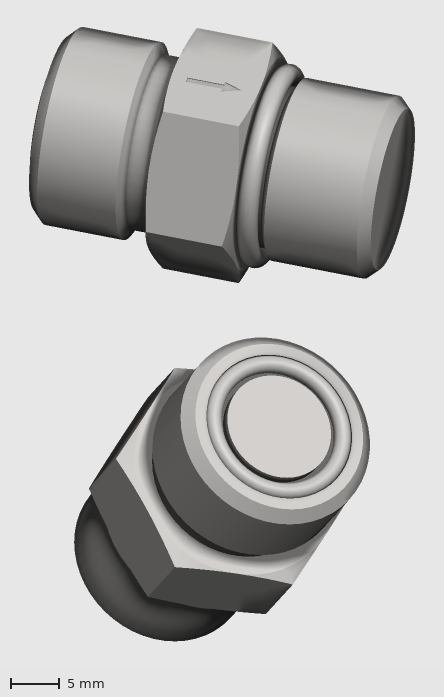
import cadquery as cq
import math


body_length = 36.05
groove_start = 10.2
hex_start = 12.83
hex_end = 22.12
port_thread_start = 24.4

face_thread_diameter = 20.62
face_groove_diameter = 18.26
face_tip_diameter = 18.26
port_thread_diameter = 19.05
port_neck_diameter = 16.82
port_tip_diameter = 16.82

tip_chamfer_length = 1.18
back_chamfer_angle = 30
hex_across_flats = 22.23
hex_chamfer_angle = 20

gland_outer_diameter = 15.85
gland_inner_diameter = 11.28
face_ring_section = 1.78
face_ring_protrusion = 0.48
gland_depth = face_ring_section - face_ring_protrusion

port_ring_section = 2.21

arrow_start = hex_start + 1.71
arrow_head_start = hex_start + 5.6
arrow_tip = hex_start + 7.46
arrow_y = -1.23
arrow_shaft_width = 0.62
arrow_head_width = 1.42
arrow_depth = 0.1


def revolve_about_x(profile):
    """Turn a closed (x, radius) outline around the X axis."""
    return cq.Workplane("XY").polyline(profile).close().revolve(360, (0, 0, 0), (1, 0, 0))


def make_turned_shaft():
    face_radius = face_thread_diameter / 2
    groove_radius = face_groove_diameter / 2
    port_radius = port_thread_diameter / 2
    neck_radius = port_neck_diameter / 2
    slope = math.tan(math.radians(back_chamfer_angle))
    face_back_chamfer = (face_radius - groove_radius) * slope
    port_back_chamfer = (port_radius - neck_radius) * slope
    hex_middle = (hex_start + hex_end) / 2
    return revolve_about_x([
        (0, 0),
        (0, face_tip_diameter / 2),
        (tip_chamfer_length, face_radius),
        (groove_start - face_back_chamfer, face_radius),
        (groove_start, groove_radius),
        (hex_middle, groove_radius),
        (hex_middle, neck_radius),
        (port_thread_start, neck_radius),
        (port_thread_start + port_back_chamfer, port_radius),
        (body_length - tip_chamfer_length, port_radius),
        (body_length, port_tip_diameter / 2),
        (body_length, 0),
    ])


def make_hexagon():
    """Wrench hexagon with flats on +Z and -Z and its corners turned down at both ends."""
    flat_radius = hex_across_flats / 2
    corner_radius = flat_radius / math.cos(math.pi / 6)
    chamfer_length = (corner_radius - flat_radius) * math.tan(math.radians(hex_chamfer_angle))
    prism = (
        cq.Workplane("YZ", origin=(hex_start, 0, 0))
        .polygon(6, 2 * corner_radius)
        .extrude(hex_end - hex_start)
    )
    turned_envelope = revolve_about_x([
        (hex_start, 0),
        (hex_start, flat_radius),
        (hex_start + chamfer_length, corner_radius),
        (hex_end - chamfer_length, corner_radius),
        (hex_end, flat_radius),
        (hex_end, 0),
    ])
    return prism.intersect(turned_envelope)


def make_face_gland():
    """Ring-shaped groove in the end face, around a flush central post."""
    return (
        cq.Workplane("YZ")
        .circle(gland_outer_diameter / 2)
        .circle(gland_inner_diameter / 2)
        .extrude(gland_depth)
    )


def make_flow_arrow():
    half_shaft = arrow_shaft_width / 2
    half_head = arrow_head_width / 2
    return (
        cq.Workplane("XY", origin=(0, arrow_y, hex_across_flats / 2))
        .polyline([
            (arrow_start, -half_shaft),
            (arrow_head_start, -half_shaft),
            (arrow_head_start, -half_head),
            (arrow_tip, 0),
            (arrow_head_start, half_head),
            (arrow_head_start, half_shaft),
            (arrow_start, half_shaft),
        ])
        .close()
        .extrude(-arrow_depth)
    )


def make_fitting():
    return make_turned_shaft().union(make_hexagon()).cut(make_face_gland()).cut(make_flow_arrow())


def make_seal_ring(center_x, center_radius, section):
    """O-ring around the X axis."""
    return (
        cq.Workplane("XY")
        .center(center_x, center_radius)
        .circle(section / 2)
        .revolve(360, (0, -center_radius, 0), (1, -center_radius, 0))
    )


fitting = make_fitting()
face_seal_ring = make_seal_ring(
    gland_depth - face_ring_section / 2,
    (gland_outer_diameter - face_ring_section) / 2,
    face_ring_section,
)
port_seal_ring = make_seal_ring(
    hex_end + port_ring_section / 2,
    (port_neck_diameter + port_ring_section) / 2,
    port_ring_section,
)

result = cq.Compound.makeCompound([fitting.solids().val(), face_seal_ring.val(), port_seal_ring.val()])